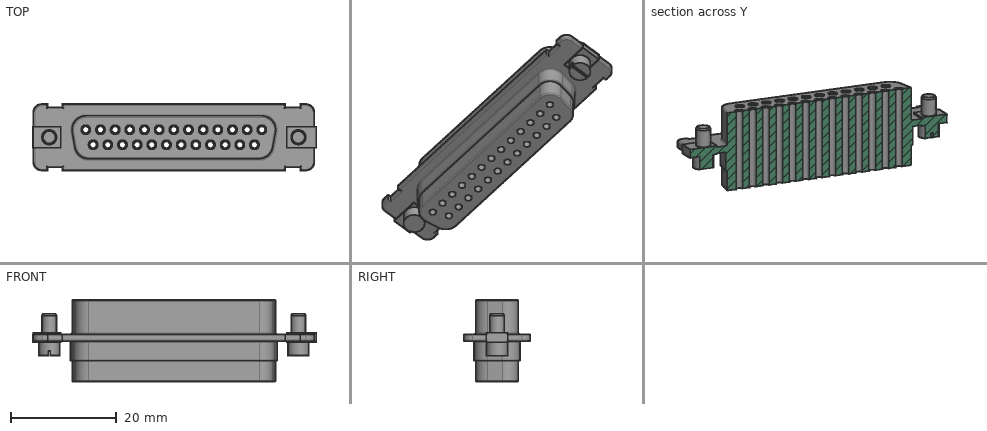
import cadquery as cq
import math


FLANGE_LENGTH = 53.1
FLANGE_WIDTH = 12.57
FLANGE_TOP = 1.25
FLANGE_BOTTOM = -0.1
FLANGE_CORNER_RADIUS = 1.65
FLANGE_EDGE_RADIUS = 0.25
NOTCH_LENGTH = 2.75
NOTCH_DEPTH = 0.6
NOTCH_CENTER_X = 22.45

BODY_WIDTH = 8.06
BODY_CORNER_RADIUS = 2.6
BODY_TOP_CORNER_X = 16.62
SIDE_ANGLE = math.radians(10)
BODY_TOP = 7.72
BODY_BOTTOM = -BODY_TOP
BODY_EDGE_RADIUS = 0.25
BODY_BASE_RADIUS = 0.25

SHELL_THICKNESS = 0.32
SHELL_BOTTOM = -3.75
SHELL_EDGE_RADIUS = 0.15
SHELL_BASE_RADIUS = 0.15

HOLE_DIAMETER = 1.27
HOLE_COUNTERSINK_DIAMETER = 1.75
PIN_PITCH = 2.77
ROW_PITCH = 2.84
LONG_ROW_COUNT = 13

SCREW_SPACING = 47.04
POST_DIAMETER = 2.77
POST_TIP_DIAMETER = 2.36
POST_TIP_HEIGHT = 0.35
POST_TOP = 5.1
HEAD_DIAMETER = 3.99
HEAD_BOTTOM = -2.8
SLOT_WIDTH = 0.35
SLOT_DEPTH = 0.85
OVERALL_LENGTH = 53.6
CLIP_END_LEFT = -26.67
CLIP_END_RIGHT = CLIP_END_LEFT + OVERALL_LENGTH
CLIP_INNER_X = 21.33
CLIP_WIDTH = 4.04
CLIP_TOP = 1.5
CLIP_BOTTOM = -0.25
CLIP_STEP = 0.1


def d_prism(growth, z_low, z_high):
    """Prism of the D outline, grown outward by `growth` about its corner centers."""
    radius = BODY_CORNER_RADIUS + growth
    center_y = BODY_WIDTH / 2 - BODY_CORNER_RADIUS
    top_x = BODY_TOP_CORNER_X
    bottom_x = top_x - 2 * center_y * math.tan(SIDE_ANGLE)
    side_x = radius * math.cos(SIDE_ANGLE)
    side_y = -radius * math.sin(SIDE_ANGLE)
    top_mid = (math.pi / 2 - SIDE_ANGLE) / 2
    bottom_mid = -(math.pi / 2 + SIDE_ANGLE) / 2
    top_mid_x = top_x + radius * math.cos(top_mid)
    top_mid_y = center_y + radius * math.sin(top_mid)
    bottom_mid_x = bottom_x + radius * math.cos(bottom_mid)
    bottom_mid_y = -center_y + radius * math.sin(bottom_mid)
    half_width = center_y + radius
    return (
        cq.Workplane("XY", origin=(0, 0, z_low))
        .moveTo(-top_x, half_width)
        .lineTo(top_x, half_width)
        .threePointArc((top_mid_x, top_mid_y), (top_x + side_x, center_y + side_y))
        .lineTo(bottom_x + side_x, -center_y + side_y)
        .threePointArc((bottom_mid_x, bottom_mid_y), (bottom_x, -half_width))
        .lineTo(-bottom_x, -half_width)
        .threePointArc((-bottom_mid_x, bottom_mid_y), (-bottom_x - side_x, -center_y + side_y))
        .lineTo(-top_x - side_x, center_y + side_y)
        .threePointArc((-top_mid_x, top_mid_y), (-top_x, half_width))
        .close()
        .extrude(z_high - z_low)
    )


def block(x_low, x_high, width, z_low, z_high):
    """Box between two X stations, centered on Y = 0."""
    return (
        cq.Workplane("XY", origin=((x_low + x_high) / 2, 0, z_low))
        .box(x_high - x_low, width, z_high - z_low, centered=(True, True, False))
    )


def cylinder(x, diameter, z_low, z_high):
    """Vertical cylinder on the X axis."""
    return cq.Workplane("XY", origin=(x, 0, z_low)).circle(diameter / 2).extrude(z_high - z_low)


def make_flange():
    """Plate with rounded corners, four edge notches and rounded rims."""
    thickness = FLANGE_TOP - FLANGE_BOTTOM
    plate = (
        cq.Workplane("XY", origin=(0, 0, FLANGE_BOTTOM))
        .rect(FLANGE_LENGTH, FLANGE_WIDTH)
        .extrude(thickness)
        .edges("|Z")
        .fillet(FLANGE_CORNER_RADIUS)
    )
    notches = (
        cq.Workplane("XY", origin=(0, 0, FLANGE_BOTTOM))
        .rect(2 * NOTCH_CENTER_X, FLANGE_WIDTH, forConstruction=True)
        .vertices()
        .rect(NOTCH_LENGTH, 2 * NOTCH_DEPTH)
        .extrude(thickness)
    )
    flange = plate.cut(notches)
    return flange.faces("<Z or >Z").edges().fillet(FLANGE_EDGE_RADIUS)


def make_body():
    """D-shaped insulator with rounded end faces."""
    return d_prism(0, BODY_BOTTOM, BODY_TOP).faces("<Z or >Z").edges().fillet(BODY_EDGE_RADIUS)


def make_shell():
    """Rear shell: a step around the body under the flange."""
    shell = d_prism(SHELL_THICKNESS, SHELL_BOTTOM, FLANGE_BOTTOM)
    return shell.faces("<Z").edges().fillet(SHELL_EDGE_RADIUS)


def fillet_base(part, z, radius):
    """Round the inside corner around the D where it meets the flange face at height `z`."""
    reach_x = FLANGE_LENGTH / 2 - FLANGE_CORNER_RADIUS - NOTCH_LENGTH
    reach_y = FLANGE_WIDTH / 2 - 2 * NOTCH_DEPTH
    margin = radius / 2
    region = cq.selectors.BoxSelector(
        (-reach_x, -reach_y, z - margin),
        (reach_x, reach_y, z + margin),
    )
    return part.edges(region).fillet(radius)


def make_clips():
    """Clip plates around both flange ends; the +X one overhangs the flange further."""
    left = block(CLIP_END_LEFT, -CLIP_INNER_X, CLIP_WIDTH, CLIP_BOTTOM, FLANGE_TOP)
    left_top = block(CLIP_END_LEFT + CLIP_STEP, -CLIP_INNER_X, CLIP_WIDTH, FLANGE_TOP, CLIP_TOP)
    right = block(CLIP_INNER_X, CLIP_END_RIGHT, CLIP_WIDTH, CLIP_BOTTOM, CLIP_TOP)
    return left.union(left_top).union(right)


def make_jack_screw(x):
    """Post with a beveled tip above the clip and a round head below it."""
    post = cylinder(x, POST_DIAMETER, CLIP_BOTTOM, POST_TOP)
    tip_inset = (POST_DIAMETER - POST_TIP_DIAMETER) / 2
    post = post.faces(">Z").edges().chamfer(POST_TIP_HEIGHT, tip_inset)
    head = cylinder(x, HEAD_DIAMETER, HEAD_BOTTOM, CLIP_BOTTOM)
    return post.union(head)


def make_head_slot():
    """Driver slot along Y, across the screw head at the -X end."""
    x = -SCREW_SPACING / 2
    half = SLOT_WIDTH / 2
    return block(x - half, x + half, HEAD_DIAMETER, HEAD_BOTTOM, HEAD_BOTTOM + SLOT_DEPTH)


def make_contact_holes():
    """Countersunk through holes: 13 in the +Y row, 12 staggered in the -Y row."""
    points = []
    for count, y in ((LONG_ROW_COUNT, ROW_PITCH / 2), (LONG_ROW_COUNT - 1, -ROW_PITCH / 2)):
        for i in range(count):
            points.append(((i - (count - 1) / 2) * PIN_PITCH, y))
    radius = HOLE_DIAMETER / 2
    mouth_radius = HOLE_COUNTERSINK_DIAMETER / 2
    sink_depth = mouth_radius - radius
    hole = (
        cq.Workplane("XZ")
        .moveTo(0, BODY_BOTTOM)
        .lineTo(radius, BODY_BOTTOM)
        .lineTo(radius, BODY_TOP - sink_depth)
        .lineTo(mouth_radius, BODY_TOP)
        .lineTo(0, BODY_TOP)
        .close()
        .revolve(360, (0, 0), (0, 1))
        .val()
    )
    return cq.Workplane("XY").pushPoints(points).eachpoint(lambda place: hole.moved(place))


result = make_flange().union(make_body()).union(make_shell())
result = fillet_base(result, FLANGE_TOP, BODY_BASE_RADIUS)
result = fillet_base(result, FLANGE_BOTTOM, SHELL_BASE_RADIUS)
result = result.union(make_clips())
for screw_x in (-SCREW_SPACING / 2, SCREW_SPACING / 2):
    result = result.union(make_jack_screw(screw_x))
result = result.cut(make_head_slot()).cut(make_contact_holes())